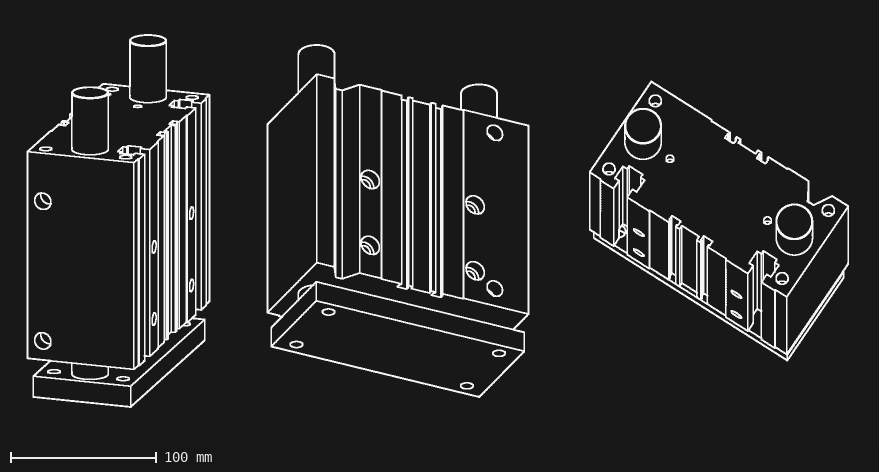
import cadquery as cq


TOTAL_HEIGHT = 218.0
HOUSING_WIDTH = 78.0
HOUSING_LENGTH = 162.0
HOUSING_HEIGHT = 149.1
HOUSING_BOTTOM = 28.0
HOUSING_TOP = HOUSING_BOTTOM + HOUSING_HEIGHT
HALF_WIDTH = HOUSING_WIDTH / 2
HALF_LENGTH = HOUSING_LENGTH / 2

PLATE_WIDTH = 70.6
PLATE_LENGTH = 159.1
PLATE_THICKNESS = 15.0
PLATE_HOLE_DIAMETER = 8.5
PLATE_HOLE_X = 25.0
PLATE_HOLE_Y = 65.2
GUIDE_ROD_DIAMETER = 25.0
GUIDE_ROD_Y = 62.1
ROD_TOP_CHAMFER = 0.5
PISTON_ROD_DIAMETER = 20.0

RELIEF_DEPTH = 0.76
RELIEF_X = HALF_WIDTH - RELIEF_DEPTH
MIDDLE_RELIEF_Y = 31.5
END_RELIEF_Y = 71.7

CHANNEL_LENGTH = 14.2
CHANNEL_FLOOR_X = 35.3
SENSOR_GROOVE_Y = 13.0
SENSOR_NECK = 5.5
SENSOR_CAVITY = 7.2
SENSOR_CAVITY_X = 36.6
SENSOR_FLOOR_X = 33.1

TRAPEZOID_Y = 58.0
TRAPEZOID_MOUTH = 19.5
TRAPEZOID_FLOOR = 5.0
TRAPEZOID_DEPTH = 12.5

T_SLOT_Y = 55.2
T_SLOT_NECK = 11.1
T_SLOT_CAVITY = 17.9
T_SLOT_CAVITY_INNER_X = 22.2
T_SLOT_CAVITY_OUTER_X = 32.3
T_SLOT_FLOOR_X = 19.6

MOUNT_Y = 40.1
MOUNT_Z = (51.9, 104.0)
MOUNT_DIAMETER = 8.5
COUNTERBORE_DIAMETER = 14.0
COUNTERBORE_DEPTH = 9.0

CORNER_HOLE_X = 29.0
CORNER_HOLE_Y = 71.0
CORNER_HOLE_DIAMETER = 8.3
CORNER_HOLE_DEPTH = 21.8
DOWEL_HOLE_Y = MOUNT_Y
DOWEL_HOLE_DIAMETER = 5.2
DOWEL_HOLE_DEPTH = 11.0

PORT_DIAMETER = 11.8
PORT_DEPTH = 13.0
SIDE_PORT_Y = -55.2
SIDE_PORT_Z = (41.6, 164.8)
END_PORT_X = -28.0
END_PORT_Z = (41.6, 142.4)


def upright_bar(x1, x2, y, length):
    """A bar over the full housing height, between two X values and centred on y."""
    return (
        cq.Workplane("XY", origin=((x1 + x2) / 2, y, HOUSING_BOTTOM))
        .rect(abs(x2 - x1), length)
        .extrude(HOUSING_HEIGHT)
    )


def guide_rods():
    """Both guide rods, from the underside of the plate to the top of the part."""
    return (
        cq.Workplane("XY")
        .pushPoints([(0, GUIDE_ROD_Y), (0, -GUIDE_ROD_Y)])
        .circle(GUIDE_ROD_DIAMETER / 2)
        .extrude(TOTAL_HEIGHT)
    )


def cut_reliefs(body):
    end_length = HALF_LENGTH - END_RELIEF_Y
    end_y = HALF_LENGTH - end_length / 2
    for side in (-1, 1):
        body = body.cut(upright_bar(side * RELIEF_X, side * HALF_WIDTH, 0, 2 * MIDDLE_RELIEF_Y))
        body = body.cut(upright_bar(RELIEF_X, HALF_WIDTH, side * end_y, end_length))
    return body


def cut_sensor_grooves(body):
    for side in (-1, 1):
        floor_x = side * SENSOR_FLOOR_X
        body = body.cut(upright_bar(side * CHANNEL_FLOOR_X, side * HALF_WIDTH, 0, CHANNEL_LENGTH))
        for y in (-SENSOR_GROOVE_Y, SENSOR_GROOVE_Y):
            body = body.cut(upright_bar(floor_x, side * HALF_WIDTH, y, SENSOR_NECK))
            body = body.cut(upright_bar(floor_x, side * SENSOR_CAVITY_X, y, SENSOR_CAVITY))
    return body


def cut_trapezoid_groove(body):
    floor_x = TRAPEZOID_DEPTH - HALF_WIDTH
    groove = (
        cq.Workplane("XY", origin=(0, TRAPEZOID_Y, HOUSING_BOTTOM))
        .moveTo(-HALF_WIDTH, -TRAPEZOID_MOUTH / 2)
        .lineTo(floor_x, -TRAPEZOID_FLOOR / 2)
        .lineTo(floor_x, TRAPEZOID_FLOOR / 2)
        .lineTo(-HALF_WIDTH, TRAPEZOID_MOUTH / 2)
        .close()
        .extrude(HOUSING_HEIGHT)
    )
    return body.cut(groove)


def cut_t_slots(body):
    for y in (-T_SLOT_Y, T_SLOT_Y):
        body = body.cut(upright_bar(T_SLOT_FLOOR_X, HALF_WIDTH, y, T_SLOT_NECK))
        body = body.cut(upright_bar(T_SLOT_CAVITY_INNER_X, T_SLOT_CAVITY_OUTER_X, y, T_SLOT_CAVITY))
    return body


def cut_mounting_holes(body):
    points = [(y, z) for y in (-MOUNT_Y, MOUNT_Y) for z in MOUNT_Z]
    face = cq.Workplane("YZ", origin=(-HALF_WIDTH, 0, 0)).pushPoints(points)
    body = body.cut(face.circle(MOUNT_DIAMETER / 2).extrude(HOUSING_WIDTH))
    return body.cut(face.circle(COUNTERBORE_DIAMETER / 2).extrude(COUNTERBORE_DEPTH))


def cut_top_holes(body):
    top = cq.Workplane("XY", origin=(0, 0, HOUSING_TOP))
    corner_holes = (
        top.rect(2 * CORNER_HOLE_X, 2 * CORNER_HOLE_Y, forConstruction=True)
        .vertices()
        .circle(CORNER_HOLE_DIAMETER / 2)
        .extrude(-CORNER_HOLE_DEPTH)
    )
    dowel_holes = (
        top.pushPoints([(0, DOWEL_HOLE_Y), (0, -DOWEL_HOLE_Y)])
        .circle(DOWEL_HOLE_DIAMETER / 2)
        .extrude(-DOWEL_HOLE_DEPTH)
    )
    return body.cut(corner_holes).cut(dowel_holes)


def cut_ports(body):
    side_ports = (
        cq.Workplane("YZ", origin=(-HALF_WIDTH, 0, 0))
        .pushPoints([(SIDE_PORT_Y, z) for z in SIDE_PORT_Z])
        .circle(PORT_DIAMETER / 2)
        .extrude(PORT_DEPTH)
    )
    end_ports = (
        cq.Workplane("XZ", origin=(0, -HALF_LENGTH, 0))
        .pushPoints([(END_PORT_X, z) for z in END_PORT_Z])
        .circle(PORT_DIAMETER / 2)
        .extrude(-PORT_DEPTH)
    )
    return body.cut(side_ports).cut(end_ports)


def make_housing():
    body = upright_bar(-HALF_WIDTH, HALF_WIDTH, 0, HOUSING_LENGTH)
    body = cut_reliefs(body)
    body = cut_sensor_grooves(body)
    body = cut_trapezoid_groove(body)
    body = cut_t_slots(body)
    body = cut_mounting_holes(body)
    body = cut_top_holes(body)
    body = cut_ports(body)
    return body.cut(guide_rods())


def make_plate_with_rods():
    plate = cq.Workplane("XY").rect(PLATE_WIDTH, PLATE_LENGTH).extrude(PLATE_THICKNESS)
    plate_holes = (
        cq.Workplane("XY")
        .rect(2 * PLATE_HOLE_X, 2 * PLATE_HOLE_Y, forConstruction=True)
        .vertices()
        .circle(PLATE_HOLE_DIAMETER / 2)
        .extrude(PLATE_THICKNESS)
    )
    piston_rod = cq.Workplane("XY").circle(PISTON_ROD_DIAMETER / 2).extrude(HOUSING_BOTTOM)
    chamfered_rods = guide_rods().faces(">Z").edges().chamfer(ROD_TOP_CHAMFER)
    return plate.cut(plate_holes).union(piston_rod).union(chamfered_rods)


housing = make_housing()
plate_with_rods = make_plate_with_rods()

result = cq.Compound.makeCompound([housing.val(), plate_with_rods.val()])